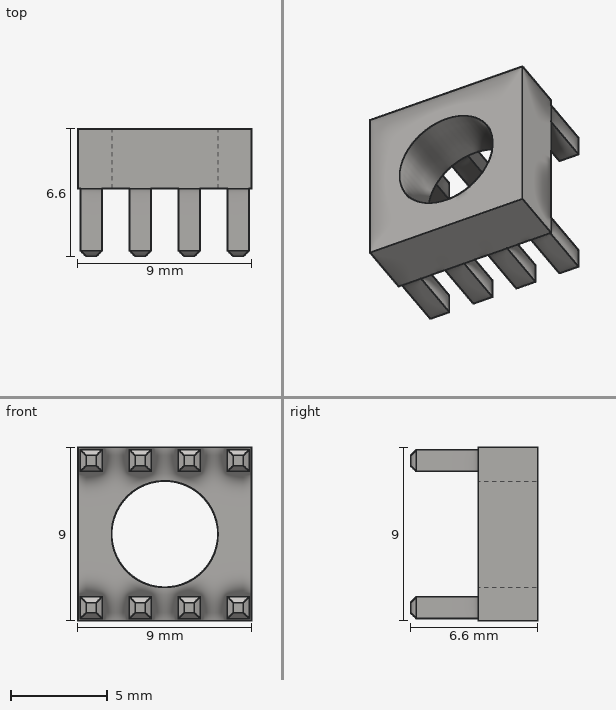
import cadquery as cq

body_side = 9.0
body_depth = 3.1
bore_diameter = 5.5

pin_pitch = 2.54
pins_per_row = 4
row_count = 2
row_spacing = 3 * pin_pitch
pin_width = 1.13
pin_length = 3.5
tip_chamfer = 0.3


def make_body():
    """Square block with its pin face on Y = 0, bored through along Y."""
    block = cq.Workplane("XY").box(body_side, body_depth, body_side, centered=(True, False, True))
    bore = cq.Workplane("XZ").circle(bore_diameter / 2).extrude(-body_depth)
    return block.cut(bore)


def make_pins():
    """Two rows of square pins pointing toward -Y, chamfered at their free ends."""
    return (
        cq.Workplane("XZ")
        .rarray(pin_pitch, row_spacing, pins_per_row, row_count)
        .rect(pin_width, pin_width)
        .extrude(pin_length)
        .faces("<Y")
        .chamfer(tip_chamfer)
    )


result = make_body().union(make_pins())